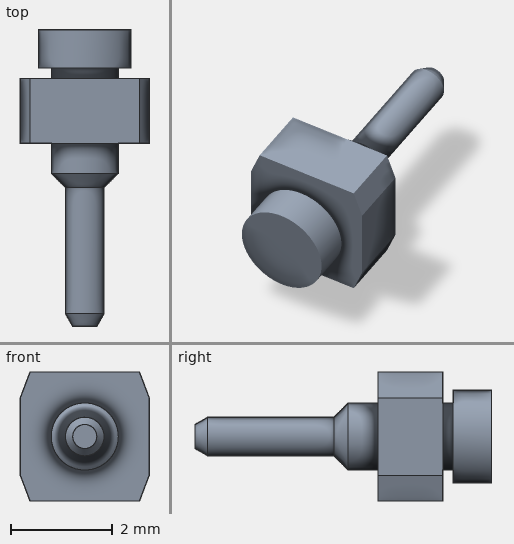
import cadquery as cq

overall_length = 5.84
tip_length = 0.25
shank_end = 2.735
shoulder_length = 0.28
block_front = 3.605
block_back = 4.88
head_front = 5.08

tip_diameter = 0.475
shank_diameter = 0.76
collar_diameter = 1.32
head_diameter = 1.83

block_side = 2.54
corner_cut_x = 0.19
corner_cut_z = 0.51


def make_pin():
    """Turned pin: half profile of radius against Y, revolved about Y."""
    tip_radius = tip_diameter / 2
    shank_radius = shank_diameter / 2
    collar_radius = collar_diameter / 2
    head_radius = head_diameter / 2
    profile = [
        (0, 0),
        (tip_radius, 0),
        (shank_radius, tip_length),
        (shank_radius, shank_end),
        (collar_radius, shank_end + shoulder_length),
        (collar_radius, head_front),
        (head_radius, head_front),
        (head_radius, overall_length),
        (0, overall_length),
    ]
    return cq.Workplane("XY").polyline(profile).close().revolve(360, (0, 0), (0, 1))


def make_block():
    """Octagonal block around the collar, with a bore that fits the pin."""
    half_side = block_side / 2
    flat_x = half_side - corner_cut_x
    flat_z = half_side - corner_cut_z
    outline = [
        (flat_x, half_side),
        (half_side, flat_z),
        (half_side, -flat_z),
        (flat_x, -half_side),
        (-flat_x, -half_side),
        (-half_side, -flat_z),
        (-half_side, flat_z),
        (-flat_x, half_side),
    ]
    return (
        cq.Workplane("XZ", origin=(0, block_front, 0))
        .polyline(outline)
        .close()
        .circle(collar_diameter / 2)
        .extrude(block_front - block_back)
    )


pin = make_pin()
block = make_block()

result = cq.Compound.makeCompound([pin.val(), block.val()])